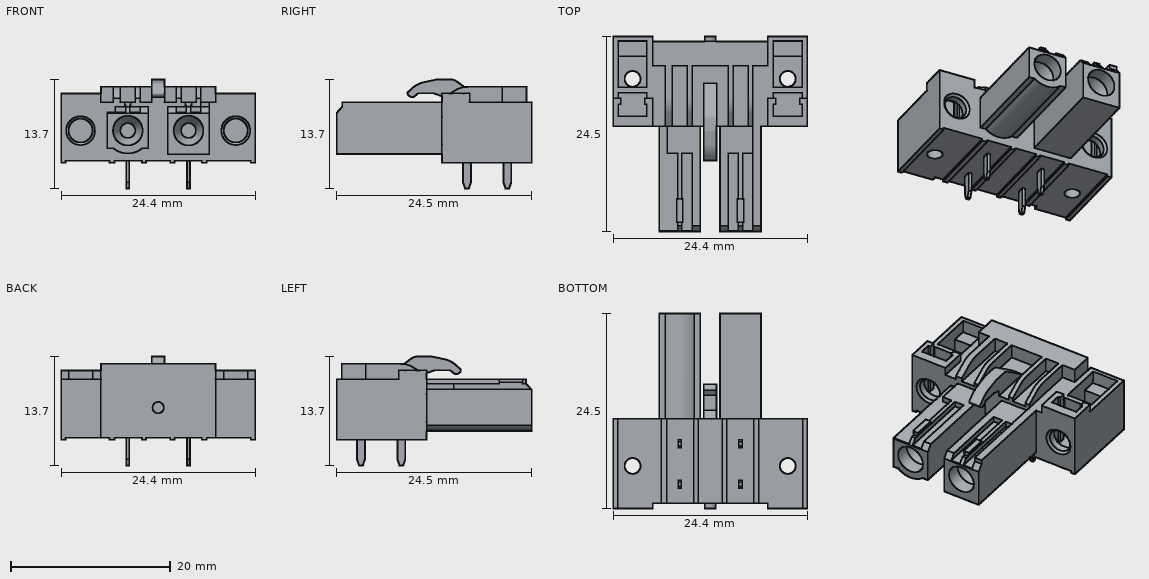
import cadquery as cq


outer_width = 24.42
half_width = outer_width / 2
ear_inner = 7.21
ear_back = 11.31
center_back = 10.67
floor_z = 7.65
foot_height = 0.27
outer_foot_width = 0.6
inner_feet = [(1.5, 2.05), (5.47, 6.14)]

crest_z = 9.6
back_wall_front = 7.63
rib_ranges = [(-5.65, -4.75), (-2.9, -2.25), (2.25, 2.9), (4.75, 5.37)]
rib_arc_start = 3.4
rib_arc_end = 1.85
rib_arc_drop = 0.37
rib_nose_z = 8.12

ear_front_z = 8.75
ear_front_depth = 3.5
pocket_inner = 7.95
pocket_outer = 11.55
slot_front = 1.28
slot_back = 4.22
tab_front = 2.75
tab_width = 0.3
pocket_floor_z = 1.75
well_front = 4.88
well_back = 10.77
well_draft = 0.1
well_ledge_front = 8.83
well_ledge_z = 5.95
screw_hole_y = 5.96
screw_hole_radius = 0.98
ear_hole_radius = 1.5
ear_hole_mouth_radius = 1.82
ear_hole_mouth_depth = 0.32
ear_x = (pocket_inner + pocket_outer) / 2

pitch = 7.63
plug_x = pitch / 2
plug_width = 5.18
plug_tip = -13.23
plug_top_z = 6.35
axis_z = 4.07
belly_radius = 2.87
left_plug_bottom_z = 1.87
right_plug_bottom_z = 1.1
tongue_z = 7.1
tongue_end = -12.52
tongue_width = 1.03
block_end = -3.4
key_rib_width = 0.55
bump_width = 0.75
bump_front = -12.07
bump_back = -9.13
bump_neck_z = 7.3
tip_bevel_z = 6.28
bore_radius = 1.87
bore_end_radius = 0.93
bore_depth = 1.96
bore_cone_depth = 1.96

latch_width = 1.62
latch_top_z = 10.53
arm_underside_z = 8.75
hook_bottom_z = 8.3
latch_foot_z = 8.4
latch_root = 5.4
boss_radius = 0.7

pin_thickness = 0.42
pin_width = 1.03
pin_rows = [3.17, 8.25]
pin_bottom_z = -3.21
pin_taper_z = -2.4
pin_tip_width = 0.5


def box(x0, x1, y0, y1, z0, z1):
    return cq.Workplane("XY").box(x1 - x0, y1 - y0, z1 - z0, centered=False).translate((x0, y0, z0))


def along_x(outline, x0, x1):
    """Extrude a closed (Y, Z) outline from x0 to x1."""
    return outline.extrude(x1 - x0).translate((x0, 0, 0))


def mirrored(shape):
    return shape.mirror("YZ")


def cylinder_y(x, z, radius, y0, y1):
    return cq.Workplane("XZ", origin=(x, y0, z)).circle(radius).extrude(y0 - y1)


def cone_y(x, z, y0, radius0, y1, radius1):
    """Cone along +Y, radius0 at y0 and radius1 at y1."""
    base = cq.Vector(x, y0, z)
    return cq.Workplane(cq.Solid.makeCone(radius0, radius1, y1 - y0, base, cq.Vector(0, 1, 0)))


def base_block():
    """Body and side ears, standing on narrow feet."""
    body = box(-ear_inner, ear_inner, 0, center_back, foot_height, floor_z)
    ear = box(ear_inner, half_width, 0, ear_back, foot_height, floor_z)
    ear = ear.union(box(ear_inner, half_width, 0, ear_front_depth, foot_height, ear_front_z))
    foot = box(half_width - outer_foot_width, half_width, 0, ear_back, 0, foot_height)
    for inner, outer in inner_feet:
        foot = foot.union(box(inner, outer, 0, center_back, 0, foot_height))
    side = ear.union(foot)
    return body.union(side).union(mirrored(side))


def ear_cuts():
    """Pockets and holes of the right ear."""
    slot = box(pocket_inner, pocket_outer, slot_front, slot_back, pocket_floor_z, ear_front_z)
    for x0 in (pocket_inner, pocket_outer - tab_width):
        slot = slot.cut(box(x0, x0 + tab_width, tab_front, ear_front_depth, pocket_floor_z, ear_front_z))
    well = (
        cq.Workplane("YZ")
        .moveTo(well_front, pocket_floor_z)
        .lineTo(well_ledge_front, pocket_floor_z)
        .lineTo(well_ledge_front, well_ledge_z)
        .lineTo(well_back - well_draft, well_ledge_z)
        .lineTo(well_back, floor_z)
        .lineTo(well_front, floor_z)
        .close()
    )
    screw_hole = cq.Workplane("XY").center(ear_x, screw_hole_y).circle(screw_hole_radius).extrude(pocket_floor_z)
    hole = cylinder_y(ear_x, axis_z, ear_hole_radius, 0, slot_front)
    mouth = cone_y(ear_x, axis_z, 0, ear_hole_mouth_radius, ear_hole_mouth_depth, ear_hole_radius)
    return slot.union(along_x(well, pocket_inner, pocket_outer)).union(screw_hole).union(hole).union(mouth)


def rib(x0, x1):
    """Rib running from the back wall, its top rounding over into a slope down to the front face."""
    outline = (
        cq.Workplane("YZ")
        .moveTo(0, floor_z)
        .lineTo(back_wall_front, floor_z)
        .lineTo(back_wall_front, crest_z)
        .lineTo(rib_arc_start, crest_z)
        .tangentArcPoint((rib_arc_end, crest_z - rib_arc_drop), relative=False)
        .lineTo(0, rib_nose_z)
        .close()
    )
    return along_x(outline, x0, x1)


def latch():
    """Hooked arm that rises from the floor and overhangs the gap between the plugs."""
    outline = (
        cq.Workplane("YZ")
        .moveTo(0, floor_z)
        .lineTo(0, latch_foot_z)
        .lineTo(-1.05, arm_underside_z)
        .lineTo(-2.95, arm_underside_z)
        .lineTo(-3.53, hook_bottom_z)
        .threePointArc((-3.88, hook_bottom_z), (-4.15, 8.47))
        .threePointArc((-4.32, 8.74), (-4.22, 8.95))
        .lineTo(-3.83, 9.3)
        .threePointArc((-3.17, 9.82), (-2.4, 10.14))
        .lineTo(-0.56, latch_top_z)
        .lineTo(1.0, latch_top_z)
        .tangentArcPoint((1.85, 10.3), relative=False)
        .lineTo(latch_root, floor_z)
        .close()
    )
    return along_x(outline, -latch_width / 2, latch_width / 2)


def key_rib(x):
    """Narrow rib along a plug, with a taller stretch near the tip that widens at its top."""
    half = key_rib_width / 2
    half_cap = bump_width / 2
    stem = box(x - half, x + half, plug_tip, block_end, plug_top_z, tongue_z)
    neck = box(x - half, x + half, bump_front, bump_back, tongue_z, bump_neck_z)
    cap = box(x - half_cap, x + half_cap, bump_front, bump_back, bump_neck_z, floor_z)
    return stem.union(neck).union(cap)


def plug_core(x, bottom_z):
    """Square plug body with its central rib."""
    body = box(x - plug_width / 2, x + plug_width / 2, plug_tip, 0, bottom_z, plug_top_z)
    return body.union(key_rib(x))


def finish_plug(plug, x):
    """Bevel the upper edge of the tip, end the tall tongue short of it and bore the socket."""
    bevel = (
        cq.Workplane("YZ")
        .moveTo(plug_tip, tip_bevel_z)
        .lineTo(tongue_end, tongue_z)
        .lineTo(tongue_end, floor_z)
        .lineTo(plug_tip, floor_z)
        .close()
    )
    plug = plug.cut(along_x(bevel, x - plug_width / 2, x + plug_width / 2))
    bore_end = plug_tip + bore_depth
    cone = cone_y(x, axis_z, bore_end, bore_radius, bore_end + bore_cone_depth, bore_end_radius)
    return plug.cut(cylinder_y(x, axis_z, bore_radius, plug_tip, bore_end)).cut(cone)


def left_plug():
    """Plug with a rounded underside and one low tongue along its inner edge."""
    x = -plug_x
    left = x - plug_width / 2
    right = x + plug_width / 2
    plug = plug_core(x, left_plug_bottom_z)
    lower_half = box(left, right, plug_tip, 0, 0, axis_z)
    plug = plug.union(cylinder_y(x, axis_z, belly_radius, plug_tip, 0).intersect(lower_half))
    plug = plug.union(box(left + tongue_width, right, block_end, 0, plug_top_z, tongue_z))
    plug = plug.union(box(right - tongue_width, right, plug_tip, 0, plug_top_z, tongue_z))
    return finish_plug(plug, x)


def right_plug():
    """Square plug with a low tongue along its inner edge and a tall one along its outer edge."""
    x = plug_x
    left = x - plug_width / 2
    right = x + plug_width / 2
    plug = plug_core(x, right_plug_bottom_z)
    plug = plug.union(box(left, right, block_end, 0, plug_top_z, tongue_z))
    plug = plug.union(box(left, left + tongue_width, plug_tip, 0, plug_top_z, tongue_z))
    plug = plug.union(box(right - tongue_width, right, plug_tip, 0, plug_top_z, floor_z))
    return finish_plug(plug, x)


def make_housing():
    body = base_block()
    body = body.union(box(-ear_inner, ear_inner, back_wall_front, center_back, floor_z, crest_z))
    for x0, x1 in rib_ranges:
        body = body.union(rib(x0, x1))
    body = body.union(latch())
    body = body.union(cylinder_y(0, axis_z, boss_radius, center_back, ear_back))
    body = body.union(left_plug()).union(right_plug())
    cuts = ear_cuts()
    return body.cut(cuts).cut(mirrored(cuts))


def make_pin(x, y):
    """Flat solder pin with a tapered end, standing against the underside of the housing."""
    half = pin_width / 2
    tip = pin_tip_width / 2
    outline = (
        cq.Workplane("YZ")
        .polyline([(y - half, foot_height), (y - half, pin_taper_z), (y - tip, pin_bottom_z),
                   (y + tip, pin_bottom_z), (y + half, pin_taper_z), (y + half, foot_height)])
        .close()
    )
    return along_x(outline, x - pin_thickness / 2, x + pin_thickness / 2)


housing = make_housing()
pins = [make_pin(x, y) for x in (-plug_x, plug_x) for y in pin_rows]

result = cq.Compound.makeCompound([housing.val(), *[pin.val() for pin in pins]])